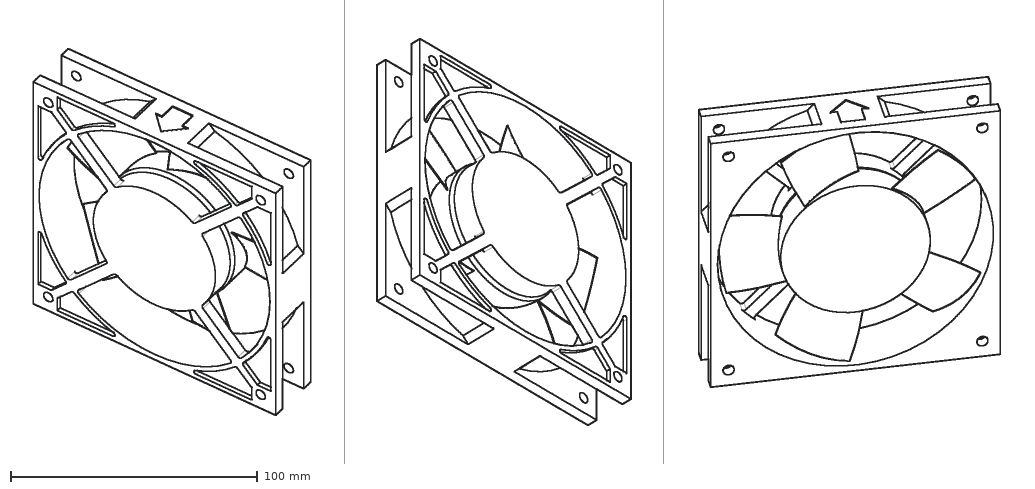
import cadquery as cq
import math

frame_side = 120.0
frame_depth = 25.0
flange_thickness = 5.0
half_side = frame_side / 2
front_y = -frame_depth / 2
back_y = frame_depth / 2
strut_back_y = front_y + flange_thickness

bore_diameter = 114.2
ring_diameter = 118.5
corner_cut = 46.9

hole_diameter = 4.5
hole_spacing = 105.1

cap_diameter = 60.5
cap_depth = 10.5
strut_width = 5.3
strut_fillet = 1.2

pocket_depth = 2.0
pocket_rim = 2.4
pocket_inner_x = 48.1
pocket_rib_width = 4.1
pocket_fillet = 1.0

arrow_length = 15.4
arrow_head_length = 7.8
arrow_head_width = 16.1
arrow_stem_width = 10.1
arrow_depth = 0.5

hub_diameter = 62.0
hub_gap = 2.2
hub_front_y = front_y + cap_depth + hub_gap
blade_count = 5
blade_tip_diameter = 110.9
blade_thickness = 0.5
blade_root_x = 28.2
blade_root_half_width = 12.7
blade_mid_x = 40.2
blade_mid_half_width = 14.4
blade_tip_half_width = 15.0
camber_half_width = 16.8
camber_leading_y = -1.1
camber_middle_y = 7.5
camber_trailing_y = 11.5


def plane_at(y):
    """Workplane facing -Y, with local axes X and Z."""
    return cq.Workplane("XZ", origin=(0, y, 0))


def make_frame_block():
    """Two square flanges joined by a core: a square with cut corners merged with a round ring."""
    core = plane_at(back_y).rect(frame_side, frame_side).extrude(frame_depth)
    ring = plane_at(back_y).circle(ring_diameter / 2).extrude(frame_depth)
    frame = core.edges("|Y").chamfer(corner_cut).union(ring)
    for flange_back_y in (back_y, strut_back_y):
        flange = plane_at(flange_back_y).rect(frame_side, frame_side).extrude(flange_thickness)
        frame = frame.union(flange)
    return frame


def make_strut(angle):
    """Diagonal bar through the centre, as deep as the front flange."""
    return (
        plane_at(strut_back_y)
        .transformed(rotate=(0, 0, angle))
        .rect(frame_side, strut_width)
        .extrude(flange_thickness)
    )


def make_air_openings():
    """Space inside the bore around the motor cap, with round-cornered windows between the struts."""
    cap = plane_at(front_y + cap_depth).circle(cap_diameter / 2).extrude(cap_depth)
    windows = plane_at(strut_back_y).circle(bore_diameter / 2).extrude(flange_thickness).cut(cap)
    for angle in (45, 135):
        windows = windows.cut(make_strut(angle))
    windows = windows.edges("|Y").fillet(strut_fillet)
    rear_depth = frame_depth - flange_thickness
    rear_bore = plane_at(back_y).circle(bore_diameter / 2).extrude(rear_depth).cut(cap)
    return rear_bore.union(windows)


def make_corner_pocket():
    """Pocket above the diagonal in the +X +Z corner, between the rim, the ring and the rib."""
    rim = half_side - pocket_rim
    rib_offset = pocket_rib_width / math.sqrt(2)
    floor = plane_at(front_y + pocket_depth)
    ring = floor.circle(ring_diameter / 2).extrude(pocket_depth)
    pocket = (
        floor.polyline([
            (0, rim),
            (pocket_inner_x, rim),
            (pocket_inner_x, pocket_inner_x + rib_offset),
            (0, rib_offset),
        ])
        .close()
        .extrude(pocket_depth)
        .cut(ring)
    )
    return pocket.edges("|Y").edges("not >X").fillet(pocket_fillet)


def make_arrow():
    """Arrow pointing to -Y."""
    tip_y = -arrow_length / 2
    head_y = tip_y + arrow_head_length
    tail_y = arrow_length / 2
    return (
        cq.Workplane("XY", origin=(0, 0, half_side - arrow_depth))
        .polyline([
            (0, tip_y),
            (arrow_head_width / 2, head_y),
            (arrow_stem_width / 2, head_y),
            (arrow_stem_width / 2, tail_y),
            (-arrow_stem_width / 2, tail_y),
            (-arrow_stem_width / 2, head_y),
            (-arrow_head_width / 2, head_y),
        ])
        .close()
        .extrude(arrow_depth)
    )


def make_housing():
    housing = make_frame_block().cut(make_air_openings())
    holes = (
        plane_at(back_y)
        .rect(hole_spacing, hole_spacing, forConstruction=True)
        .vertices()
        .circle(hole_diameter / 2)
        .extrude(frame_depth)
    )
    housing = housing.cut(holes)
    pocket = make_corner_pocket()
    for corner in range(4):
        for side in (pocket, pocket.mirror("YZ")):
            housing = housing.cut(side.rotate((0, 0, 0), (0, 1, 0), 90 * corner))
    return housing.cut(make_arrow())


def make_blade():
    """Blade pointing to +X: a cambered sheet trimmed to the blade outline."""
    tip_radius = blade_tip_diameter / 2
    tip_x = math.sqrt(tip_radius**2 - blade_tip_half_width**2)
    outline = (
        plane_at(back_y)
        .moveTo(blade_root_x, -blade_root_half_width)
        .threePointArc((blade_mid_x, -blade_mid_half_width), (tip_x, -blade_tip_half_width))
        .threePointArc((tip_radius, 0), (tip_x, blade_tip_half_width))
        .threePointArc((blade_mid_x, blade_mid_half_width), (blade_root_x, blade_root_half_width))
        .close()
        .extrude(frame_depth)
    )
    sheet = (
        cq.Workplane("YZ")
        .moveTo(camber_leading_y, camber_half_width)
        .threePointArc((camber_middle_y, 0), (camber_trailing_y, -camber_half_width))
        .line(blade_thickness, 0)
        .threePointArc(
            (camber_middle_y + blade_thickness, 0),
            (camber_leading_y + blade_thickness, camber_half_width),
        )
        .close()
        .extrude(half_side)
    )
    return sheet.intersect(outline)


def make_rotor():
    rotor = plane_at(back_y).circle(hub_diameter / 2).extrude(back_y - hub_front_y)
    blade = make_blade()
    for index in range(blade_count):
        rotor = rotor.union(blade.rotate((0, 0, 0), (0, 1, 0), 360 / blade_count * index))
    return rotor


housing = make_housing()
rotor = make_rotor()
result = cq.Compound.makeCompound([housing.val(), rotor.val()])